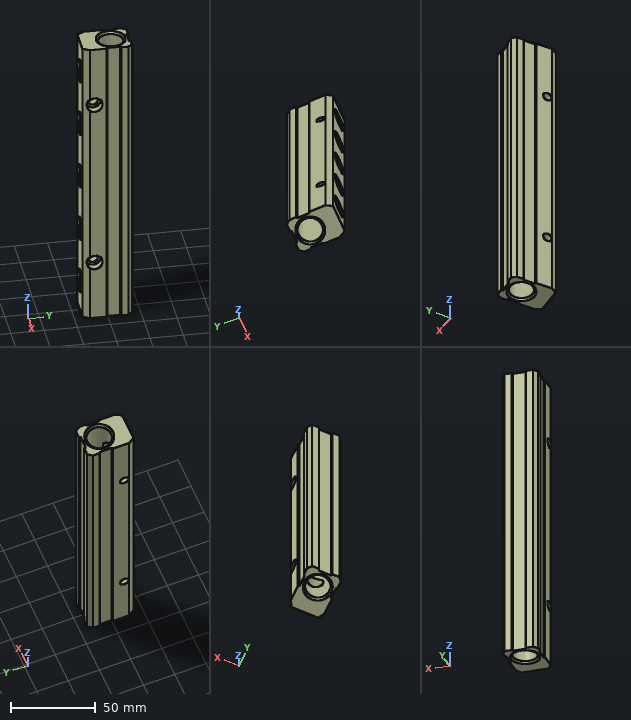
import cadquery as cq
import math

width = 22.0
depth = 30.0
length = 184.0
half_width = width / 2
back = depth / 2
front = -depth / 2

front_bevel_y = 4.0
front_bevel_x = front_bevel_y * math.tan(math.radians(30))
back_bevel_x = 2.2
back_bevel_y = 2.8

back_channel_depth = 1.1
back_channel_half_width = 4.5
back_channel_floor_half_width = 3.9
side_channel_depth = 0.7
side_channel_slope = 0.7
side_channel_start = back - 7.0
side_channel_end = back - 15.8

bore_y = back - 11.5
bore_radius = 7.5
bore_chamfer = 1.3

port_count = 5
port_end_margin = 20.0
port_pitch = (length - 2 * port_end_margin) / (port_count - 1)
port_radius = 5.9
port_chamfer = 1.1

mount_y = back - 23.0
mount_z = length / 2 - port_end_margin - port_pitch / 2
mount_radius = 2.8
head_radius = 4.6
head_depth = 5.5


def make_body():
    right_half = [
        (back_channel_floor_half_width, back - back_channel_depth),
        (back_channel_half_width, back),
        (half_width - back_bevel_x, back),
        (half_width, back - back_bevel_y),
        (half_width, side_channel_start),
        (half_width - side_channel_depth, side_channel_start - side_channel_slope),
        (half_width - side_channel_depth, side_channel_end + side_channel_slope),
        (half_width, side_channel_end),
        (half_width, front + front_bevel_y),
        (half_width - front_bevel_x, front),
    ]
    left_half = [(-x, y) for x, y in reversed(right_half)]
    outline = cq.Workplane("XY").polyline(right_half + left_half).close()
    return outline.extrude(length / 2, both=True)


def rod(radius, height, start, direction):
    return cq.Workplane(cq.Solid.makeCylinder(radius, height, cq.Vector(*start), cq.Vector(*direction)))


def mouth_chamfer(radius, size, start, direction):
    return cq.Workplane(
        cq.Solid.makeCone(radius + size, radius, size, cq.Vector(*start), cq.Vector(*direction))
    )


def cut_bore(body):
    body = body.cut(rod(bore_radius, length, (0, bore_y, -length / 2), (0, 0, 1)))
    for end in (-1, 1):
        mouth = (0, bore_y, end * length / 2)
        body = body.cut(mouth_chamfer(bore_radius, bore_chamfer, mouth, (0, 0, -end)))
    return body


def cut_ports(body):
    for index in range(port_count):
        mouth = (0, front, -length / 2 + port_end_margin + index * port_pitch)
        body = body.cut(rod(port_radius, bore_y - front, mouth, (0, 1, 0)))
        body = body.cut(mouth_chamfer(port_radius, port_chamfer, mouth, (0, 1, 0)))
    return body


def cut_mounting_holes(body):
    for z in (-mount_z, mount_z):
        start = (half_width, mount_y, z)
        body = body.cut(rod(mount_radius, width, start, (-1, 0, 0)))
        body = body.cut(rod(head_radius, head_depth, start, (-1, 0, 0)))
    return body


result = cut_mounting_holes(cut_ports(cut_bore(make_body())))